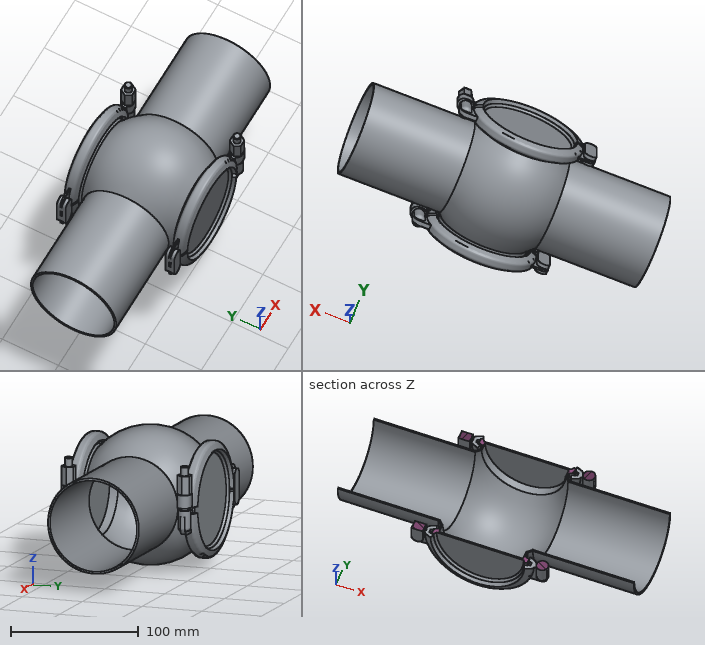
import cadquery as cq
import math

PIPE_LENGTH = 250.0
PIPE_DIAMETER = 76.2
PIPE_RADIUS = PIPE_DIAMETER / 2
WALL = 1.8
BALL_RADIUS = 55.2
NECK_RADIUS = 37.0

CLAMP_Y = 48.5
CLAMP_HALF_WIDTH = 6.2
CLAMP_RADIUS = 46.2
BAND_HALF_WIDTH = 1.5
SHOULDER_RADIUS = 3.0
FLANK_ANGLE = math.radians(67)
CLAMP_THICKNESS = 3.5
HINGE_GAP = 2.2
BOLT_GAP = 5.2

SHOULDER_Y = BAND_HALF_WIDTH + SHOULDER_RADIUS * math.sin(FLANK_ANGLE)
SHOULDER_R = CLAMP_RADIUS - SHOULDER_RADIUS * (1 - math.cos(FLANK_ANGLE))
MOUTH_R = SHOULDER_R - (CLAMP_HALF_WIDTH - SHOULDER_Y) * math.tan(FLANK_ANGLE)

LIP_Y = CLAMP_HALF_WIDTH - CLAMP_THICKNESS * math.sin(FLANK_ANGLE)
LIP_R = MOUTH_R - CLAMP_THICKNESS * math.cos(FLANK_ANGLE)
GROOVE_R = CLAMP_RADIUS - CLAMP_THICKNESS


def inner_flank_y(radius):
    """Distance of the clamp's inner flank from the clamp's middle plane."""
    return LIP_Y + (LIP_R - radius) / math.tan(FLANK_ANGLE)


FLANGE_RADIUS = 40.5
CAP_RIM_RADIUS = 38.2
CAP_RIM_Y = CLAMP_Y + inner_flank_y(CAP_RIM_RADIUS)
CAP_RECESS = 2.2
CAP_FACE_Y = CAP_RIM_Y - CAP_RECESS
CAP_INSIDE_Y = CAP_FACE_Y - WALL
CAP_FACE_RADIUS = 36.8

PLATE_REACH = 57.0
PLATE_HALF_HEIGHT = 17.8
PLATE_CORNER = 6.0
HINGE_PLATE_THICKNESS = 1.5
HINGE_PLATE_OVERLAP = 0.5
PAD_WIDTH = 9.8
PAD_HEIGHT = 29.0
PAD_THICKNESS = 8.0
SOCKET_SIZE = 1.5
SOCKET_SPACING = 3.8
SOCKET_DEPTH = 1.5

BOLT_X = 52.2
BOLT_PLATE_THICKNESS = 4.0
BOLT_RADIUS = 3.0
BOLT_TOP = 36.8
BOLT_CHAMFER = 0.5
NUT_ACROSS_FLATS = 10.0
NUT_TOP = 29.8
LUG_TOP = 14.8
LUG_BOTTOM = 4.2
LUG_WIDTH = 10.8
LUG_LENGTH = 13.2
BARREL_RADIUS = 5.0
BARREL_TOP = 2.0
BARREL_BOTTOM = -15.0
BARREL_ROUND = 3.2


def cylinder_x(radius, length):
    return cq.Workplane("YZ").circle(radius).extrude(length / 2, both=True)


def cylinder_y(radius, half_length):
    return cq.Workplane("XZ").circle(radius).extrude(half_length, both=True)


def revolve_about_y(profile):
    """Revolve a closed profile drawn with radius along X and axial position along Y."""
    return profile.close().revolve(360, (0, 0), (0, 1))


def make_cross_body():
    """Ball, necks, flanges and caps, turned about the axis of the two ports."""
    ball_end = math.sqrt(BALL_RADIUS**2 - NECK_RADIUS**2)
    rim_half_width = inner_flank_y(FLANGE_RADIUS)
    half_profile = [
        (NECK_RADIUS, ball_end),
        (NECK_RADIUS, CLAMP_Y - inner_flank_y(NECK_RADIUS)),
        (FLANGE_RADIUS, CLAMP_Y - rim_half_width),
        (FLANGE_RADIUS, CLAMP_Y + rim_half_width),
        (CAP_RIM_RADIUS, CAP_RIM_Y),
        (CAP_FACE_RADIUS, CAP_FACE_Y),
        (0, CAP_FACE_Y),
    ]
    mirrored_profile = [(radius, -y) for radius, y in reversed(half_profile)]
    profile = (
        cq.Workplane("XY")
        .polyline(mirrored_profile)
        .threePointArc((BALL_RADIUS, 0), half_profile[0])
        .polyline(half_profile[1:], includeCurrent=True)
    )
    return revolve_about_y(profile)


def make_cross_cavity():
    """Space inside the ball and necks, between the inner faces of the two caps."""
    bore_radius = NECK_RADIUS - WALL
    inner_ball_radius = BALL_RADIUS - WALL
    inner_ball_end = math.sqrt(inner_ball_radius**2 - bore_radius**2)
    profile = (
        cq.Workplane("XY")
        .moveTo(0, -CAP_INSIDE_Y)
        .lineTo(bore_radius, -CAP_INSIDE_Y)
        .lineTo(bore_radius, -inner_ball_end)
        .threePointArc((inner_ball_radius, 0), (bore_radius, inner_ball_end))
        .lineTo(bore_radius, CAP_INSIDE_Y)
        .lineTo(0, CAP_INSIDE_Y)
    )
    return revolve_about_y(profile)


def make_housing():
    """Ball with capped ports on the Y axis and the open pipe along the X axis."""
    housing = make_cross_body().union(cylinder_x(PIPE_RADIUS, PIPE_LENGTH))
    return housing.cut(make_cross_cavity()).cut(cylinder_x(PIPE_RADIUS - WALL, PIPE_LENGTH))


def make_ring():
    """V-section ring, split by a narrow gap at the hinge and a wider one at the bolt."""
    round_mid_y = BAND_HALF_WIDTH + SHOULDER_RADIUS * math.sin(FLANK_ANGLE / 2)
    round_mid_r = CLAMP_RADIUS - SHOULDER_RADIUS * (1 - math.cos(FLANK_ANGLE / 2))
    groove_y = inner_flank_y(GROOVE_R)
    profile = (
        cq.Workplane("XY")
        .moveTo(CLAMP_RADIUS, -BAND_HALF_WIDTH)
        .lineTo(CLAMP_RADIUS, BAND_HALF_WIDTH)
        .threePointArc((round_mid_r, round_mid_y), (SHOULDER_R, SHOULDER_Y))
        .lineTo(MOUTH_R, CLAMP_HALF_WIDTH)
        .lineTo(LIP_R, LIP_Y)
        .lineTo(GROOVE_R, groove_y)
        .lineTo(GROOVE_R, -groove_y)
        .lineTo(LIP_R, -LIP_Y)
        .lineTo(MOUTH_R, -CLAMP_HALF_WIDTH)
        .lineTo(SHOULDER_R, -SHOULDER_Y)
        .threePointArc((round_mid_r, -round_mid_y), (CLAMP_RADIUS, -BAND_HALF_WIDTH))
    )
    ring = revolve_about_y(profile)
    for side, gap in ((-1, HINGE_GAP), (1, BOLT_GAP)):
        slit = cq.Workplane("XY").box(CLAMP_RADIUS, 2 * CLAMP_HALF_WIDTH, gap)
        ring = ring.cut(slit.translate((side * CLAMP_RADIUS, 0, 0)))
    return ring


def make_side_plate(side, thickness):
    """Plate from the ring axis out to PLATE_REACH, with its outer corners rounded."""
    plate = cq.Workplane("XY").box(PLATE_REACH, thickness, 2 * PLATE_HALF_HEIGHT)
    plate = plate.translate((side * PLATE_REACH / 2, 0, 0))
    outer_face = ">X" if side > 0 else "<X"
    return plate.faces(outer_face).edges("|Y").fillet(PLATE_CORNER)


def make_hinge():
    """Thin plate bridging the hinge gap, with a rounded pad on each face and two edge sockets."""
    plate = make_side_plate(-1, HINGE_PLATE_THICKNESS)
    plate = plate.cut(cylinder_y(CLAMP_RADIUS - HINGE_PLATE_OVERLAP, CLAMP_HALF_WIDTH))
    pads = (
        cq.Workplane("XZ")
        .center(PAD_WIDTH / 2 - PLATE_REACH, 0)
        .slot2D(PAD_HEIGHT, PAD_WIDTH, 90)
        .extrude(PAD_THICKNESS / 2, both=True)
    )
    sockets = (
        cq.Workplane("YZ", origin=(-PLATE_REACH, 0, 0))
        .rarray(2.5, SOCKET_SPACING, 1, 2)
        .rect(SOCKET_SIZE, SOCKET_SIZE)
        .extrude(SOCKET_DEPTH)
    )
    return plate.union(pads).cut(sockets)


def make_bolt_plates():
    """Lower plate behind the barrel and short upper plate joining the ring to the lug."""
    plate = make_side_plate(1, BOLT_PLATE_THICKNESS)
    lower_height = PLATE_HALF_HEIGHT - BOLT_GAP / 2
    lower = cq.Workplane("XY", origin=(0, 0, -PLATE_HALF_HEIGHT))
    lower = lower.rect(2 * PLATE_REACH, BOLT_PLATE_THICKNESS).extrude(lower_height)
    upper = cq.Workplane("XY", origin=(0, 0, LUG_BOTTOM))
    upper = upper.rect(2 * BOLT_X, BOLT_PLATE_THICKNESS).extrude(LUG_TOP - LUG_BOTTOM)
    plate = plate.intersect(lower.union(upper))
    return plate.cut(cylinder_y(GROOVE_R, CLAMP_HALF_WIDTH))


def make_bolt():
    """Shank with its hexagon nut, the lug under the nut and the barrel at the lower end."""

    def at_height(z):
        return cq.Workplane("XY", origin=(BOLT_X, 0, z))

    shank_bottom = BARREL_BOTTOM + BARREL_ROUND
    shank = at_height(shank_bottom).circle(BOLT_RADIUS).extrude(BOLT_TOP - shank_bottom)
    shank = shank.faces(">Z").chamfer(BOLT_CHAMFER)
    nut_across_corners = NUT_ACROSS_FLATS / math.cos(math.pi / 6)
    nut = at_height(LUG_TOP).polygon(6, nut_across_corners).extrude(NUT_TOP - LUG_TOP)
    lug = at_height(LUG_BOTTOM).slot2D(LUG_LENGTH, LUG_WIDTH).extrude(LUG_TOP - LUG_BOTTOM)
    barrel = at_height(BARREL_BOTTOM).circle(BARREL_RADIUS).extrude(BARREL_TOP - BARREL_BOTTOM)
    barrel = barrel.faces("<Z").edges().fillet(BARREL_ROUND)
    return shank.union(nut).union(lug).union(barrel)


def make_clamp(side):
    clamp = make_ring().union(make_hinge()).union(make_bolt_plates()).union(make_bolt())
    return clamp.translate((0, side * CLAMP_Y, 0))


housing = make_housing()
clamps = [make_clamp(side) for side in (-1, 1)]

result = cq.Compound.makeCompound([housing.val(), *[clamp.val() for clamp in clamps]])